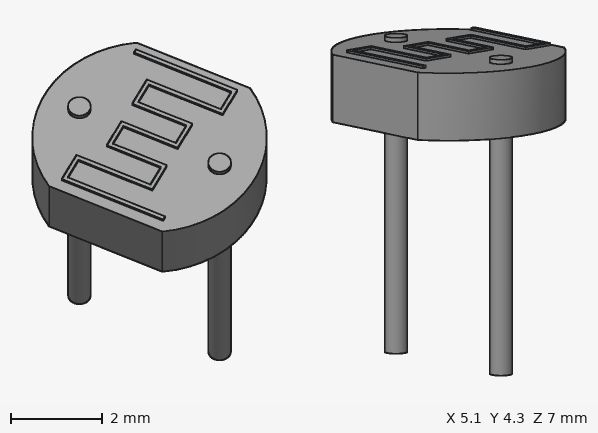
import cadquery as cq

BODY_DIAMETER = 5.1
BODY_WIDTH = 4.3
BODY_HEIGHT = 1.5

LEAD_DIAMETER = 0.5
LEAD_SPACING = 3.4
LEAD_PROTRUSION = 0.1
LEAD_TOP = BODY_HEIGHT + LEAD_PROTRUSION
LEAD_LENGTH = 7.0

TRACK_WIDTH = 0.1
TRACK_THICKNESS = 0.05
ROW_PITCH = 0.62
INNER_TURN_X = 0.66
OUTER_TURN_X = 1.135
TRACK_END_X = 1.28

LINK_XS = [
    OUTER_TURN_X,
    -INNER_TURN_X,
    INNER_TURN_X,
    -INNER_TURN_X,
    INNER_TURN_X,
    -OUTER_TURN_X,
]


def make_sensor():
    """Flatted disc with two round leads running through it."""
    disc = cq.Workplane("XY").circle(BODY_DIAMETER / 2).extrude(BODY_HEIGHT)
    flats = cq.Workplane("XY").rect(BODY_DIAMETER, BODY_WIDTH).extrude(BODY_HEIGHT)
    leads = (
        cq.Workplane("XY", origin=(0, 0, LEAD_TOP))
        .pushPoints([(-LEAD_SPACING / 2, 0), (LEAD_SPACING / 2, 0)])
        .circle(LEAD_DIAMETER / 2)
        .extrude(-LEAD_LENGTH)
    )
    return disc.intersect(flats).union(leads)


def track_bar(x_start, x_end, y_start, y_end):
    """Flat bar spanning the given outer limits, with its top level with the lead tops."""
    return (
        cq.Workplane("XY", origin=(0, 0, LEAD_TOP))
        .center((x_start + x_end) / 2, (y_start + y_end) / 2)
        .rect(abs(x_end - x_start), abs(y_end - y_start))
        .extrude(-TRACK_THICKNESS)
    )


def make_track():
    """Rows along X joined end to end by upright links."""
    half_width = TRACK_WIDTH / 2
    first_row_y = len(LINK_XS) * ROW_PITCH / 2
    row_ends = [*LINK_XS[1:], TRACK_END_X]

    track = track_bar(-TRACK_END_X, LINK_XS[0], first_row_y - half_width, first_row_y + half_width)
    for index, link_x in enumerate(LINK_XS):
        upper_y = first_row_y - index * ROW_PITCH
        lower_y = upper_y - ROW_PITCH
        next_x = row_ends[index]
        link = track_bar(
            link_x - half_width, link_x + half_width, lower_y - half_width, upper_y + half_width
        )
        row = track_bar(link_x, next_x, lower_y - half_width, lower_y + half_width)
        track = track.union(link).union(row)
    return track.clean()


sensor = make_sensor()
track = make_track()

result = cq.Compound.makeCompound([sensor.val(), track.val()])